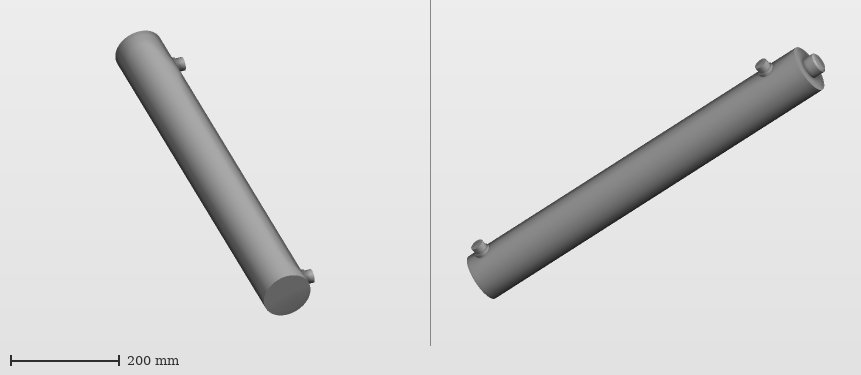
import cadquery as cq
import math

total_length = 780.0
barrel_diameter = 92.0
rod_diameter = 40.0
rod_extension = 24.0
rod_chamfer = 3.0
gland_length = 9.0
cap_length = 7.0
cap_weld_length = 5.0

port_diameter = 26.0
port_reach = 63.0
port_weld_top_diameter = 30.5
port_weld_base_diameter = 33.0
port_weld_reach = 49.0
port_weld_base = math.sqrt(barrel_diameter**2 - port_weld_base_diameter**2) / 2
front_port_offset = 65.0
rear_port_offset = 36.0

gland_start = rod_extension
barrel_start = gland_start + gland_length
cap_start = total_length - cap_length
cap_weld_start = cap_start - cap_weld_length
port_stations = [gland_start + front_port_offset, total_length - rear_port_offset]


def disc(start, end, diameter):
    """Solid round bar on the cylinder axis between two X stations."""
    return cq.Workplane("YZ", origin=(start, 0, 0)).circle(diameter / 2).extrude(end - start)


def round_along_y(station, diameter, reach):
    """Round boss that rises from the cylinder axis toward +Y."""
    plane = cq.Plane(origin=(station, 0, 0), xDir=(1, 0, 0), normal=(0, 1, 0))
    return cq.Workplane(plane).circle(diameter / 2).extrude(reach)


def make_rod():
    """Rod end that passes through the gland, with a chamfered tip."""
    return disc(0, barrel_start, rod_diameter).faces("<X").chamfer(rod_chamfer)


def make_gland():
    """Front disc with a bore for the rod."""
    bore = disc(gland_start, barrel_start, rod_diameter)
    return disc(gland_start, barrel_start, barrel_diameter).cut(bore)


barrel_envelope = disc(gland_start, total_length, barrel_diameter)


def make_port(station):
    """Round port with its foot saddled on the barrel."""
    return round_along_y(station, port_diameter, port_reach).cut(barrel_envelope)


def make_port_weld(station):
    """Tapered weld collar around the foot of a port, saddled on the barrel."""
    collar = cq.Workplane(
        cq.Solid.makeCone(
            port_weld_base_diameter / 2,
            port_weld_top_diameter / 2,
            port_weld_reach - port_weld_base,
            pnt=cq.Vector(station, port_weld_base, 0),
            dir=cq.Vector(0, 1, 0),
        )
    )
    port_hole = round_along_y(station, port_diameter, port_reach)
    return collar.cut(port_hole).cut(barrel_envelope)


rod = make_rod()
gland = make_gland()
barrel = disc(barrel_start, cap_weld_start, barrel_diameter)
cap_weld = disc(cap_weld_start, cap_start, barrel_diameter)
cap = disc(cap_start, total_length, barrel_diameter)

ports = []
port_welds = []
for port_station in port_stations:
    ports.append(make_port(port_station).val())
    port_welds.append(make_port_weld(port_station).val())

result = cq.Compound.makeCompound(
    [rod.val(), gland.val(), barrel.val(), cap_weld.val(), cap.val(), *ports, *port_welds]
)